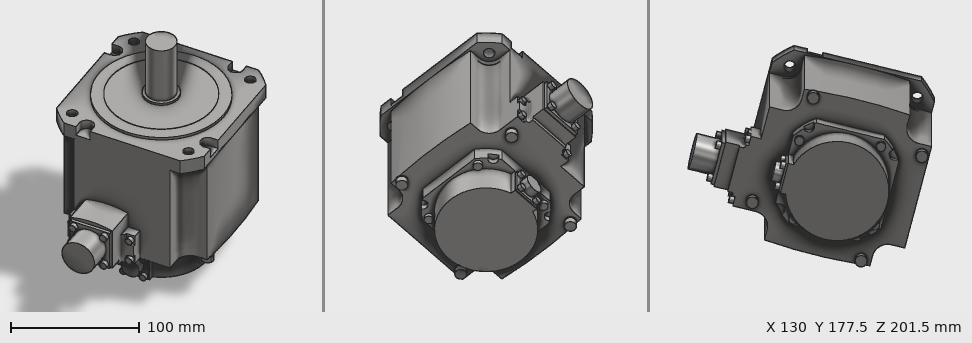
import cadquery as cq
import math


encoder_top = 25.5
body_bottom = 38.3
flute_step = 129.2
flange_bottom = 134.5
flange_top = 147.0
step_height = 2.5
pilot_top = flange_top + step_height
collar_top = pilot_top + step_height
shaft_top = 201.5

flange_width = 130.0
flange_half = flange_width / 2
flange_corner_radius = 82.6
pilot_radius = 55.0
pilot_pad_radius = 44.7
pilot_pad_height = 0.5
collar_radius = 15.0
shaft_radius = 12.3
mount_hole_radius = 4.5
mount_hole_offset = 51.2

body_wall = 42.3
bulge_edge = 62.9
flute_radius = 12.0
upper_flute_radius = 10.9

tie_bolt_x = -34.3
tie_bolt_y = -59.2
tie_notch_radius = 6.2
tie_notch_depth = 8.3
tie_head_radius = 4.6
tie_head_height = 6.5
tie_washer_radius = 4.8
tie_washer_height = 1.0

adapter_corner_radius = 50.4
encoder_radius = 40.0
encoder_screw_x = -36.9
encoder_screw_y = -25.8
encoder_screw_radius = 3.6
encoder_screw_height = 3.6
adapter_notch_x = -32.2
adapter_notch_y = -37.9
adapter_notch_radius = 4.2
adapter_notch_height = 5.2

encoder_pad_half = 12.3
encoder_plate_half = 11.7
encoder_plate_thickness = 1.6
encoder_plug_z = encoder_top / 2
encoder_plug_radius = 7.9
encoder_plug_length = 8.9
encoder_plug_screw_offset = 8.7
encoder_plug_screw_radius = 2.8
encoder_plug_screw_reach = 5.2

bracket_half = 29.0
power_x = bracket_half - body_wall
bracket_top = 65.3
bracket_face = 75.2
bracket_fillet = 1.8
bracket_screw_offset = 25.4
bracket_screw_levels = (42.1, 60.9)
bracket_screw_radius = 2.8
bracket_screw_face = 76.8
screw_seat_radius = 4.0
screw_seat_face = 73.0
housing_half = 18.5
housing_side_top = 78.8
housing_crown = 81.2
housing_face = 90.7
undercut_start = 79.5
undercut_height = 4.0
power_plug_z = 60.5
power_plate_half = 17.3
power_plate_face = 93.3
power_plug_radius = 14.3
overall_depth = 177.5
power_plug_face = overall_depth - flange_half
power_screw_offset = 13.5
power_screw_radius = 3.0
power_screw_face = 97.1


def box(x_min, x_max, y_min, y_max, z_min, z_max):
    return (
        cq.Workplane("XY")
        .box(x_max - x_min, y_max - y_min, z_max - z_min, centered=False)
        .translate((x_min, y_min, z_min))
    )


def upright_cylinder(x, y, radius, z_min, z_max):
    return cq.Workplane("XY", origin=(x, y, z_min)).circle(radius).extrude(z_max - z_min)


def forward_cylinder(x, z, radius, back, face):
    """Cylinder along -Y between two distances from the motor axis."""
    return cq.Workplane("XZ", origin=(x, -back, z)).circle(radius).extrude(face - back)


def four_around_axis(shape):
    """The shape and its three quarter-turn copies about the motor axis."""
    copies = shape
    for quarter in range(1, 4):
        copies = copies.union(shape.rotate((0, 0, 0), (0, 0, 1), 90 * quarter))
    return copies


def square_offsets(offset):
    return [(dx, dz) for dx in (-offset, offset) for dz in (-offset, offset)]


def rounded_square(half, corner_radius, z_min, z_max):
    """Square plate whose corners lie on a circle about the motor axis."""
    square = box(-half, half, -half, half, z_min, z_max)
    return square.intersect(upright_cylinder(0, 0, corner_radius, z_min, z_max))


def body_section(corner_radius, z_min, z_max):
    """Cross-shaped length of body: bulged +-X sides, flat +-Y sides, hollow corners."""
    flute_end = body_wall + corner_radius
    flute_middle = flute_end - corner_radius * math.sqrt(0.5)
    return (
        cq.Workplane("XY", origin=(0, 0, z_min))
        .moveTo(-bulge_edge, body_wall)
        .threePointArc((-flange_half, 0), (-bulge_edge, -body_wall))
        .lineTo(-flute_end, -body_wall)
        .threePointArc((-flute_middle, -flute_middle), (-body_wall, -flute_end))
        .lineTo(-body_wall, -flange_half)
        .lineTo(body_wall, -flange_half)
        .lineTo(body_wall, -flute_end)
        .threePointArc((flute_middle, -flute_middle), (flute_end, -body_wall))
        .lineTo(bulge_edge, -body_wall)
        .threePointArc((flange_half, 0), (bulge_edge, body_wall))
        .lineTo(flute_end, body_wall)
        .threePointArc((flute_middle, flute_middle), (body_wall, flute_end))
        .lineTo(body_wall, flange_half)
        .lineTo(-body_wall, flange_half)
        .lineTo(-body_wall, flute_end)
        .threePointArc((-flute_middle, flute_middle), (-flute_end, body_wall))
        .close()
        .extrude(z_max - z_min)
    )


def make_flange():
    flange = rounded_square(flange_half, flange_corner_radius, flange_bottom, flange_top)
    hole = upright_cylinder(
        mount_hole_offset, mount_hole_offset, mount_hole_radius, flange_bottom, flange_top
    )
    notch_floor = flange_top - tie_notch_depth
    notch = upright_cylinder(tie_bolt_x, tie_bolt_y, tie_notch_radius, notch_floor, flange_top)
    notch_mouth = box(
        tie_bolt_x - tie_notch_radius, tie_bolt_x + tie_notch_radius,
        -flange_half, tie_bolt_y, notch_floor, flange_top,
    )
    return flange.cut(four_around_axis(hole)).cut(four_around_axis(notch.union(notch_mouth)))


def make_shaft():
    return (
        upright_cylinder(0, 0, pilot_radius, flange_top, pilot_top)
        .union(upright_cylinder(0, 0, pilot_pad_radius, flange_top, pilot_top + pilot_pad_height))
        .union(upright_cylinder(0, 0, collar_radius, flange_top, collar_top))
        .union(upright_cylinder(0, 0, shaft_radius, flange_top, shaft_top))
    )


def make_tie_bolt_heads():
    head = upright_cylinder(
        tie_bolt_x, tie_bolt_y, tie_head_radius, body_bottom - tie_head_height, body_bottom
    )
    washer = upright_cylinder(
        tie_bolt_x, tie_bolt_y, tie_washer_radius, body_bottom - tie_washer_height, body_bottom
    )
    return four_around_axis(head.union(washer))


def make_adapter():
    ring = rounded_square(body_wall, adapter_corner_radius, encoder_top, body_bottom)
    notch_top = encoder_top + adapter_notch_height
    notch = upright_cylinder(
        adapter_notch_x, adapter_notch_y, adapter_notch_radius, encoder_top, notch_top
    )
    screw = upright_cylinder(
        encoder_screw_x, encoder_screw_y, encoder_screw_radius,
        encoder_top - encoder_screw_height, encoder_top,
    )
    return ring.cut(four_around_axis(notch)).union(four_around_axis(screw))


def make_encoder():
    cover = upright_cylinder(0, 0, encoder_radius, 0, encoder_top)
    pad = box(-encoder_pad_half, encoder_pad_half, -body_wall, 0, 0, encoder_top)
    plate = box(
        -encoder_plate_half, encoder_plate_half,
        -body_wall - encoder_plate_thickness, -body_wall,
        encoder_plug_z - encoder_plate_half, encoder_plug_z + encoder_plate_half,
    )
    plug = forward_cylinder(
        0, encoder_plug_z, encoder_plug_radius, body_wall, body_wall + encoder_plug_length
    )
    encoder = cover.union(pad).union(plate).union(plug)
    for dx, dz in square_offsets(encoder_plug_screw_offset):
        encoder = encoder.union(forward_cylinder(
            dx, encoder_plug_z + dz, encoder_plug_screw_radius,
            body_wall, body_wall + encoder_plug_screw_reach,
        ))
    return encoder


def make_screw_seat(side, z):
    """Pocket round a bracket screw, open to the bracket's face, outer side and nearer end."""
    screw_x = power_x + side * bracket_screw_offset
    outer_x = power_x + side * bracket_half
    end_z = bracket_top if z > (body_bottom + bracket_top) / 2 else body_bottom
    inner_x = screw_x - side * screw_seat_radius
    floor_z = z - math.copysign(screw_seat_radius, end_z - z)
    toward_edge = box(
        min(screw_x, outer_x), max(screw_x, outer_x), -bracket_face, -screw_seat_face,
        min(floor_z, end_z), max(floor_z, end_z),
    )
    toward_end = box(
        min(screw_x, inner_x), max(screw_x, inner_x), -bracket_face, -screw_seat_face,
        min(z, end_z), max(z, end_z),
    )
    round_corner = forward_cylinder(screw_x, z, screw_seat_radius, screw_seat_face, bracket_face)
    return toward_edge.union(toward_end).union(round_corner)


def make_bracket():
    bracket = box(
        power_x - bracket_half, power_x + bracket_half,
        -bracket_face, -flange_half, body_bottom, bracket_top,
    )
    for side in (-1, 1):
        housing_side = power_x + side * housing_half
        fillet_middle = bracket_fillet * (1 - math.sqrt(0.5))
        web = (
            cq.Workplane("XY", origin=(0, 0, body_bottom))
            .moveTo(housing_side, -bracket_face)
            .lineTo(housing_side + side * bracket_fillet, -bracket_face)
            .threePointArc(
                (housing_side + side * fillet_middle, -bracket_face - fillet_middle),
                (housing_side, -bracket_face - bracket_fillet),
            )
            .close()
            .extrude(bracket_top - body_bottom)
        )
        bracket = bracket.union(web)
        for z in bracket_screw_levels:
            screw = forward_cylinder(
                power_x + side * bracket_screw_offset, z, bracket_screw_radius,
                screw_seat_face, bracket_screw_face,
            )
            bracket = bracket.cut(make_screw_seat(side, z)).union(screw)
    return bracket


def make_power_housing():
    left = power_x - housing_half
    right = power_x + housing_half
    housing = (
        cq.Workplane("XZ", origin=(0, -flange_half, 0))
        .moveTo(left, body_bottom)
        .lineTo(left, housing_side_top)
        .threePointArc((power_x, housing_crown), (right, housing_side_top))
        .lineTo(right, body_bottom)
        .close()
        .extrude(housing_face - flange_half)
    )
    undercut = box(
        left, right, -housing_face, -undercut_start, body_bottom, body_bottom + undercut_height
    )
    return housing.cut(undercut)


def make_power_plug():
    plug = box(
        power_x - power_plate_half, power_x + power_plate_half,
        -power_plate_face, -housing_face,
        power_plug_z - power_plate_half, power_plug_z + power_plate_half,
    )
    plug = plug.union(forward_cylinder(
        power_x, power_plug_z, power_plug_radius, housing_face, power_plug_face
    ))
    for dx, dz in square_offsets(power_screw_offset):
        plug = plug.union(forward_cylinder(
            power_x + dx, power_plug_z + dz, power_screw_radius, housing_face, power_screw_face
        ))
    return plug


result = (
    body_section(flute_radius, body_bottom, flute_step)
    .union(body_section(upper_flute_radius, flute_step, flange_bottom))
    .union(make_flange())
    .union(make_shaft())
    .union(make_tie_bolt_heads())
    .union(make_adapter())
    .union(make_encoder())
    .union(make_bracket())
    .union(make_power_housing())
    .union(make_power_plug())
)